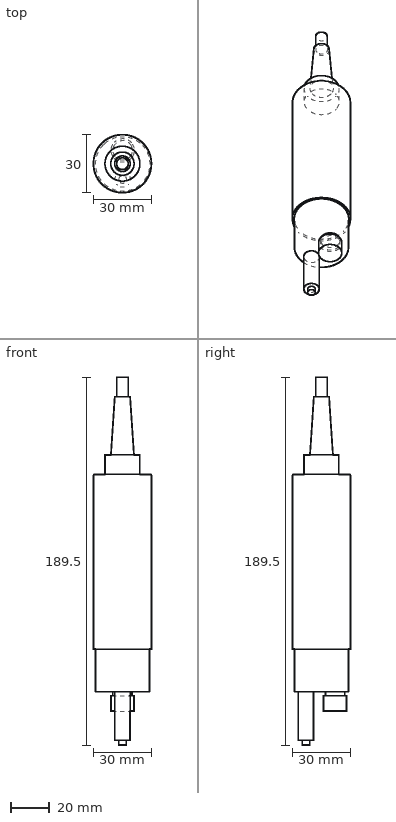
import cadquery as cq

body_diameter = 30.0
body_length = 90.0
body_fillet = 1.0
base_diameter = 28.0
base_length = 22.0
base_fillet = 0.5

collar_diameter = 18.0
collar_length = 10.0
relief_bottom_diameter = 12.0
relief_top_diameter = 8.0
relief_length = 30.0
cable_diameter = 6.0
cable_length = 10.0

pin_offset_y = -8.0
pin_diameter = 8.0
pin_length = 25.0
tip_diameter = 4.0
tip_length = 2.5

knob_offset_y = 7.0
neck_diameter = 10.0
neck_length = 2.0
knob_diameter = 12.0
knob_length = 8.0

body_bottom_z = base_length
collar_bottom_z = body_bottom_z + body_length
relief_bottom_z = collar_bottom_z + collar_length
cable_bottom_z = relief_bottom_z + relief_length


def cylinder(diameter, length, bottom_z, center_y=0.0):
    """Upright cylinder starting at bottom_z."""
    plane = cq.Workplane("XY", origin=(0, center_y, bottom_z))
    return plane.circle(diameter / 2).extrude(length)


def make_housing():
    """Base and body, with rounded outer end edges."""
    base = cylinder(base_diameter, base_length, 0).faces("<Z").fillet(base_fillet)
    body = cylinder(body_diameter, body_length, body_bottom_z).faces(">Z").fillet(body_fillet)
    return base.union(body)


def make_cable_exit():
    """Collar, tapered strain relief and cable stub."""
    collar = cylinder(collar_diameter, collar_length, collar_bottom_z)
    relief = cq.Workplane(
        cq.Solid.makeCone(
            relief_bottom_diameter / 2,
            relief_top_diameter / 2,
            relief_length,
            pnt=cq.Vector(0, 0, relief_bottom_z),
        )
    )
    cable = cylinder(cable_diameter, cable_length, cable_bottom_z)
    return collar.union(relief).union(cable)


def make_pin():
    """Probe pin with a thinner tip, pointing down."""
    pin = cylinder(pin_diameter, pin_length, -pin_length, pin_offset_y)
    tip = cylinder(tip_diameter, tip_length, -pin_length - tip_length, pin_offset_y)
    return pin.union(tip)


def make_knob():
    """Round knob hanging on its neck."""
    neck = cylinder(neck_diameter, neck_length, -neck_length, knob_offset_y)
    knob = cylinder(knob_diameter, knob_length, -neck_length - knob_length, knob_offset_y)
    return neck.union(knob)


result = make_housing().union(make_cable_exit()).union(make_pin()).union(make_knob())